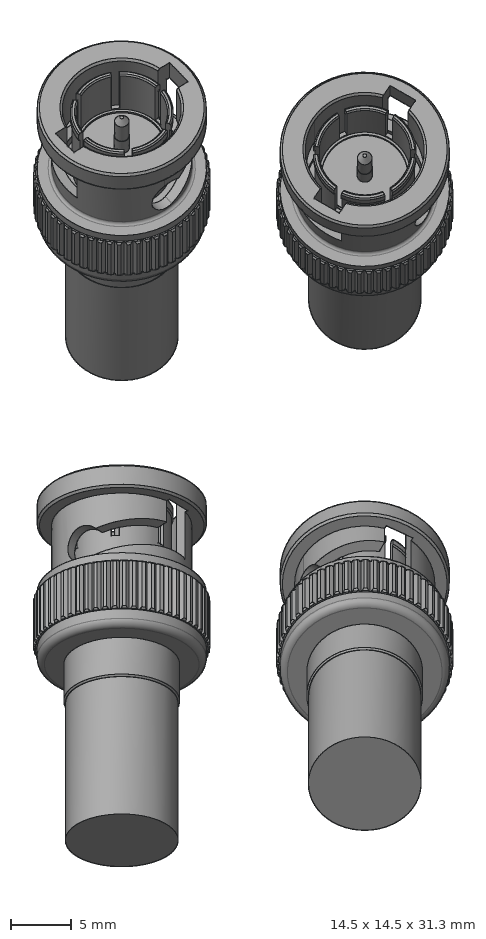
import cadquery as cq
import math

total_height = 31.3
ferrule_top = 12.77
collar_bottom = 16.35
knurl_bottom = 17.8
knurl_top = 22.3
collar_top = 23.05
contact_floor = 25.82
contact_ledge = 26.0
slit_bottom = 26.17
pin_step = 27.45
flange_bottom = 29.2
pin_shoulder = 29.42
lip_bottom = 29.75
pin_tip = 29.95
contact_top = 30.7

ferrule_radius = 4.63
barrel_radius = 4.75
flange_radius = 6.95
collar_radius = flange_radius
neck_radius = 5.75
nut_bore_radius = 4.88
contact_radius = 4.1
lip_radius = 4.23
contact_bore_radius = 3.75
contact_floor_radius = 3.55
pin_base_radius = 0.63
pin_radius = 0.6
pin_tip_radius = 0.15

barrel_chamfer = 0.15
collar_fillet = 0.6
neck_fillet = 0.28
flange_chamfer = 0.2
lip_chamfer = 0.13
contact_mouth_chamfer = 0.13

knurl_diameter = 14.5
knurl_radius = knurl_diameter / 2
tooth_count = 57
tooth_tip_width = 0.28
knurl_end_chamfer = 0.15

keyway_width = 2.47
keyway_reach = 5.92
ramp_angle = 15.0
ramp_width = 2.32
detent_radius = 1.6
detent_y = -0.38
detent_z = 25.07

slit_count = 6
slit_width = 0.7
first_slit_angle = 30.0


def revolve_profile(profile):
    """Spin an (X radius, Z) half-profile, held in the XZ plane, around Z."""
    return profile.close().revolve(360, (0, 0, 0), (0, 1, 0))


def make_core():
    """Ferrule, barrel and slitted outer contact, with the centre pin inside."""
    profile = (
        cq.Workplane("XZ")
        .moveTo(0, 0)
        .lineTo(ferrule_radius, 0)
        .lineTo(ferrule_radius, ferrule_top)
        .lineTo(barrel_radius - barrel_chamfer, ferrule_top)
        .lineTo(barrel_radius, ferrule_top + barrel_chamfer)
        .lineTo(barrel_radius, collar_top)
        .lineTo(contact_radius, collar_top)
        .lineTo(contact_radius, lip_bottom)
        .lineTo(lip_radius, lip_bottom + lip_chamfer)
        .lineTo(lip_radius, contact_top - lip_chamfer)
        .lineTo(lip_radius - lip_chamfer, contact_top)
        .lineTo(contact_bore_radius + contact_mouth_chamfer, contact_top)
        .lineTo(contact_bore_radius, contact_top - contact_mouth_chamfer)
        .lineTo(contact_bore_radius, contact_ledge)
        .lineTo(contact_floor_radius, contact_ledge)
        .lineTo(contact_floor_radius, contact_floor)
        .lineTo(0, contact_floor)
    )
    core = revolve_profile(profile)

    slit_length = 2 * lip_radius
    slit = (
        cq.Workplane("XY", origin=(0, 0, slit_bottom))
        .rect(slit_length, slit_width)
        .extrude(total_height - slit_bottom)
        .translate((slit_length / 2, 0, 0))
    )
    for index in range(slit_count):
        angle = first_slit_angle + index * 360 / slit_count
        core = core.cut(slit.rotate((0, 0, 0), (0, 0, 1), angle))

    pin = (
        cq.Workplane("XZ")
        .moveTo(0, contact_floor)
        .lineTo(pin_base_radius, contact_floor)
        .lineTo(pin_base_radius, pin_step)
        .lineTo(pin_radius, pin_step)
        .lineTo(pin_radius, pin_shoulder)
        .lineTo(pin_tip_radius, pin_tip)
        .lineTo(0, pin_tip)
    )
    return core.union(revolve_profile(pin))


def make_nut_blank():
    """Turned coupling nut: collar, neck and flange around an open bore."""
    fillet_middle = math.sqrt(0.5)
    collar_arc_middle = (
        collar_radius - collar_fillet * (1 - fillet_middle),
        collar_bottom + collar_fillet * (1 - fillet_middle),
    )
    neck_arc_middle = (
        neck_radius + neck_fillet * (1 - fillet_middle),
        collar_top + neck_fillet * (1 - fillet_middle),
    )
    profile = (
        cq.Workplane("XZ")
        .moveTo(0, collar_bottom)
        .lineTo(collar_radius - collar_fillet, collar_bottom)
        .threePointArc(collar_arc_middle, (collar_radius, collar_bottom + collar_fillet))
        .lineTo(collar_radius, collar_top)
        .lineTo(neck_radius + neck_fillet, collar_top)
        .threePointArc(neck_arc_middle, (neck_radius, collar_top + neck_fillet))
        .lineTo(neck_radius, flange_bottom)
        .lineTo(flange_radius - flange_chamfer, flange_bottom)
        .lineTo(flange_radius, flange_bottom + flange_chamfer)
        .lineTo(flange_radius, total_height - flange_chamfer)
        .lineTo(flange_radius - flange_chamfer, total_height)
        .lineTo(nut_bore_radius + flange_chamfer, total_height)
        .lineTo(nut_bore_radius, total_height - flange_chamfer)
        .lineTo(nut_bore_radius, collar_top)
        .lineTo(0, collar_top)
    )
    return revolve_profile(profile)


def make_knurl():
    """Ring of straight trapezoid teeth; one tooth points along -Y."""
    pitch_angle = 2 * math.pi / tooth_count
    half_tip_angle = math.asin(tooth_tip_width / 2 / knurl_radius)
    points = []
    for index in range(tooth_count):
        tooth_angle = -math.pi / 2 + index * pitch_angle
        corners = (
            (knurl_radius, tooth_angle - half_tip_angle),
            (knurl_radius, tooth_angle + half_tip_angle),
            (collar_radius, tooth_angle + pitch_angle / 2),
        )
        points += [(r * math.cos(a), r * math.sin(a)) for r, a in corners]
    height = knurl_top - knurl_bottom
    teeth = cq.Workplane("XY", origin=(0, 0, knurl_bottom)).polyline(points).close().extrude(height)
    envelope = (
        cq.Workplane("XY", origin=(0, 0, knurl_bottom))
        .circle(knurl_radius)
        .extrude(height)
        .edges()
        .chamfer(knurl_end_chamfer)
    )
    return teeth.intersect(envelope)


def make_bayonet_cut():
    """Keyway on the -Y side leading into a sloped ramp that ends in a round detent on the -X side."""
    slope = math.tan(math.radians(ramp_angle))
    ramp_rise = ramp_width / math.cos(math.radians(ramp_angle))
    ramp_floor_at_detent = detent_z - detent_radius / math.cos(math.radians(ramp_angle))
    tangent_y = detent_y - detent_radius * math.sin(math.radians(ramp_angle))

    def ramp_floor(y):
        return ramp_floor_at_detent + slope * (detent_y - y)

    ramp_length = keyway_width / 2 + flange_radius
    ramp_plane = cq.Workplane("YZ", origin=(-flange_radius, 0, 0))
    ramp = (
        ramp_plane.moveTo(-keyway_reach, ramp_floor(-keyway_reach))
        .lineTo(tangent_y, ramp_floor(tangent_y))
        .lineTo(tangent_y, ramp_floor(tangent_y) + ramp_rise)
        .lineTo(-keyway_reach, ramp_floor(-keyway_reach) + ramp_rise)
        .close()
        .extrude(ramp_length)
    )
    detent = ramp_plane.center(detent_y, detent_z).circle(detent_radius).extrude(flange_radius)

    keyway_bottom = ramp_floor(-keyway_reach) + ramp_rise / 2
    keyway = cq.Workplane("XY").box(
        keyway_width, keyway_reach, total_height - keyway_bottom, centered=(True, False, False)
    )
    return ramp.union(detent).union(keyway.translate((0, -keyway_reach, keyway_bottom)))


bayonet_cut = make_bayonet_cut()
opposite_bayonet_cut = bayonet_cut.rotate((0, 0, 0), (0, 0, 1), 180)
nut = make_nut_blank().cut(bayonet_cut).cut(opposite_bayonet_cut)

result = nut.union(make_knurl()).union(make_core())